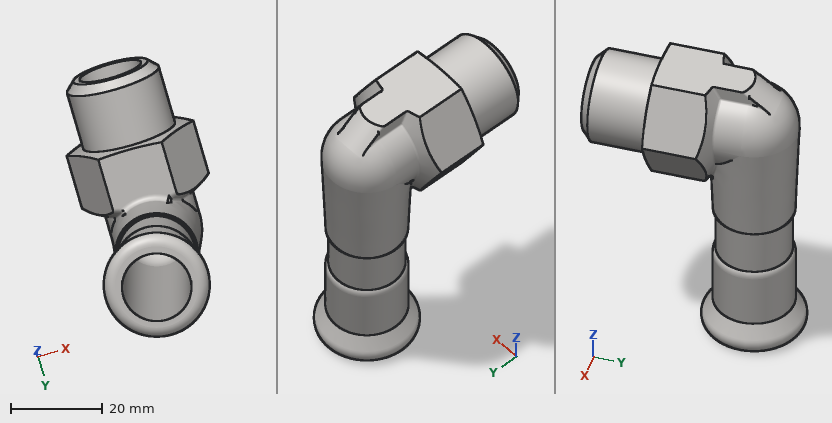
import cadquery as cq
import math

ball_radius = 10.0
body_top_z = -0.7
body_end_z = -24.0
body_end_radius = 9.1
body_lip = 0.25

neck_radius = 8.5
socket_radius = 9.15
step_start_z = -35.2
step_end_z = -36.9
socket_end_z = -49.75
bead_radius = 11.64
bead_round = 2.5
arm_end_z = -57.0
bead_flare_end = (11.2, -53.0)

hex_flats = 25.0
hex_corner_radius = hex_flats / math.sqrt(3)
hex_start_y = -6.5
hex_end_y = -22.0
hex_rear_slope = math.tan(math.radians(30))
hex_front_slope = math.tan(math.radians(10))
thread_radius = 20.95 / 2
thread_end_y = -37.0
thread_chamfer = 2.0

rib_width = 8.0
rib_top_z = hex_flats / 2
rib_end_y = -10.0
slope_length = 2 * ball_radius

edge_fillet = 0.5
corner_fillet = 1.3

tolerance = 0.05

thread_bore_radius = 14.0 / 2
thread_bore_end_y = -3.8
press_bore_radius = 15.2 / 2
press_bore_top_z = -3.1


def revolved_about_z(outline):
    """Turn a closed (radius, z) outline about the Z axis."""
    return outline.close().revolve(360, (0, 0, 0), (0, 1, 0))


def revolved_about_y(points):
    """Turn a closed (radius, y) outline about the Y axis."""
    return cq.Workplane("XY").polyline(points).close().revolve(360, (0, 0, 0), (0, 1, 0))


def rod_along_y(radius, start_y, end_y):
    """Round rod on the Y axis running from start_y towards -Y."""
    return cq.Workplane("XZ", origin=(0, start_y, 0)).circle(radius).extrude(start_y - end_y)


def press_arm():
    """Tapered elbow body, neck, socket and rolled bead turned about Z."""
    body_top_radius = math.sqrt(ball_radius**2 - body_top_z**2)
    step_height = step_start_z - step_end_z
    step_depth = socket_radius - neck_radius
    step_round = (step_height**2 + step_depth**2) / (2 * step_depth)
    step_center_radius = socket_radius - step_round
    half_sweep = math.asin(step_height / step_round) / 2
    step_middle = (
        step_center_radius + step_round * math.cos(half_sweep),
        step_end_z + step_round * math.sin(half_sweep),
    )
    bead_center_z = arm_end_z + bead_round
    outline = (
        cq.Workplane("XZ")
        .moveTo(0, body_top_z)
        .lineTo(body_top_radius, body_top_z)
        .lineTo(body_end_radius, body_end_z + body_lip)
        .lineTo(body_end_radius - body_lip, body_end_z)
        .lineTo(neck_radius, body_end_z)
        .lineTo(neck_radius, step_start_z)
        .threePointArc(step_middle, (socket_radius, step_end_z))
        .lineTo(socket_radius, socket_end_z)
        .lineTo(*bead_flare_end)
        .threePointArc((bead_radius, bead_center_z), (bead_radius - bead_round, arm_end_z))
        .lineTo(0, arm_end_z)
    )
    return revolved_about_z(outline)


def hexagon():
    """Hexagon with a steep cone at the rear and a shallow cone at the front."""
    prism = (
        cq.Workplane("XZ", origin=(0, hex_start_y, 0))
        .polygon(6, 2 * hex_corner_radius)
        .extrude(hex_start_y - hex_end_y)
    )
    rear_corner_y = hex_start_y - (hex_corner_radius - ball_radius) * hex_rear_slope
    front_corner_y = hex_end_y + (hex_corner_radius - thread_radius) * hex_front_slope
    envelope = revolved_about_y([
        (0, hex_start_y),
        (ball_radius, hex_start_y),
        (hex_corner_radius, rear_corner_y),
        (hex_corner_radius, front_corner_y),
        (thread_radius, hex_end_y),
        (0, hex_end_y),
    ])
    return prism.intersect(envelope)


def thread():
    """Threaded end as a plain cylinder with a chamfered tip."""
    rod = rod_along_y(thread_radius, hex_end_y, thread_end_y)
    return rod.faces("<Y").chamfer(thread_chamfer)


def ball_slope():
    """Round bar, as wide as the ball, from the ball centre up along the slope of the rib's rear."""
    tilt = math.degrees(math.acos(ball_radius / rib_top_z))
    bar = cq.Workplane("XZ").circle(ball_radius).extrude(slope_length)
    return bar.rotate((0, 0, 0), (1, 0, 0), -tilt)


def rib_block(start_y, end_y):
    """Stretch of the rib between two Y positions, trimmed to the slope."""
    block = (
        cq.Workplane("XY", origin=(0, (start_y + end_y) / 2, 0))
        .rect(rib_width, start_y - end_y)
        .extrude(rib_top_z)
    )
    return block.intersect(ball_slope())


def rib_tail():
    """Part of the rib over the ball, with a concave foot swept around the ball."""
    half_width = rib_width / 2
    foot_center_x = half_width + edge_fillet
    foot_center_radius = math.sqrt((ball_radius + edge_fillet)**2 - foot_center_x**2)
    contact = ball_radius / (ball_radius + edge_fillet)
    contact_angle = math.atan2(foot_center_radius, foot_center_x)
    middle_angle = math.pi + contact_angle / 2
    foot_middle = (
        foot_center_x + edge_fillet * math.cos(middle_angle),
        foot_center_radius + edge_fillet * math.sin(middle_angle),
    )
    foot_half = (
        cq.Workplane("XZ")
        .lineTo(contact * foot_center_x, contact * foot_center_radius)
        .threePointArc(foot_middle, (half_width, foot_center_radius))
        .lineTo(0, foot_center_radius)
        .close()
        .revolve(90, (0, 0, 0), (-1, 0, 0))
    )
    foot = foot_half.union(foot_half.mirror("YZ")).intersect(ball_slope())
    return rib_block(ball_radius, 0).union(foot)


def bores():
    """Round-ended bores of both arms, meeting inside the ball."""
    thread_bore = rod_along_y(thread_bore_radius, thread_bore_end_y, thread_end_y)
    thread_bore_tip = cq.Workplane("XY").sphere(thread_bore_radius).translate((0, thread_bore_end_y, 0))
    press_bore = (
        cq.Workplane("XY", origin=(0, 0, arm_end_z))
        .circle(press_bore_radius)
        .extrude(press_bore_top_z - arm_end_z)
    )
    press_bore_tip = cq.Workplane("XY").sphere(press_bore_radius).translate((0, 0, press_bore_top_z))
    return thread_bore.union(thread_bore_tip).union(press_bore).union(press_bore_tip)


def near(value, target):
    """Tell whether two positions agree within the picking tolerance."""
    return abs(value - target) < tolerance


def is_rear_corner(edge):
    """Concave edges behind the hexagon: around the arm, along the body and beside the rib."""
    kind = edge.geomType()
    center = edge.Center()
    around_arm = kind == "CIRCLE" and near(center.y, hex_start_y)
    along_body = kind == "BSPLINE" and center.y < hex_start_y
    beside_rib = near(abs(center.x), rib_width / 2) and center.z < rib_top_z - tolerance and center.y < 0
    return around_arm or along_body or beside_rib


def is_underside_corner(edge):
    """Concave edges where the body runs into the underside of the hexagon."""
    center = edge.Center()
    on_underside = near(center.z, -hex_flats / 2) and center.y > hex_end_y
    return on_underside and edge.geomType() in ("CIRCLE", "BSPLINE")


def fillet_where(shape, wanted, radius):
    """Round every edge of the shape that the test function picks."""
    edges = [edge for edge in shape.edges().vals() if wanted(edge)]
    return shape.newObject([shape.solids().val().fillet(radius, edges)])


ball = cq.Workplane("XY").sphere(ball_radius)
thread_arm = rod_along_y(ball_radius, 0, hex_start_y).union(hexagon()).union(rib_block(0, rib_end_y))
arms = thread_arm.union(press_arm())
arms = fillet_where(arms, is_rear_corner, edge_fillet)
arms = fillet_where(arms, is_underside_corner, corner_fillet)
body = arms.union(ball).union(rib_tail()).union(thread())

result = body.cut(bores()).solids()